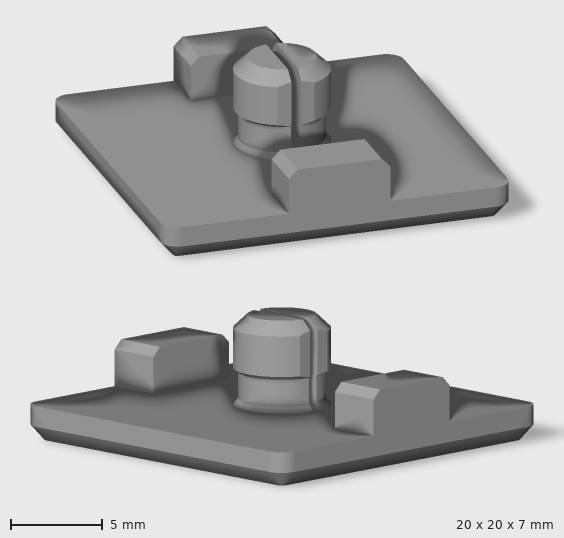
import cadquery as cq

plate_side = 20.0
plate_thickness = 2.0
corner_radius = 1.0
bevel_height = 0.85
bevel_inset = 0.75

block_length = 3.0
block_width = 5.85
block_top = 4.55
block_chamfer = 0.5

stud_top = 7.0
tip_radius = 1.9
head_radius = 2.68
head_shoulder = 6.25
head_bottom = 4.02
neck_radius = 2.4
neck_top = 3.82
neck_bottom = 2.32
flare_radius = 2.7
flat_half_width = 2.45
slot_width = 0.55


def make_plate():
    """Rounded square plate with a bevel around its underside."""
    plate = cq.Workplane("XY").rect(plate_side, plate_side).extrude(plate_thickness)
    plate = plate.edges("|Z").fillet(corner_radius)
    return plate.faces("<Z").chamfer(bevel_height, bevel_inset)


def make_block(side):
    """Block flush with the plate edge on the given X side (-1 or +1)."""
    height = block_top - plate_thickness
    center_x = side * (plate_side - block_length) / 2
    center_z = plate_thickness + height / 2
    block = cq.Workplane("XY").box(block_length, block_width, height)
    block = block.edges("|X and >Z").chamfer(block_chamfer)
    return block.translate((center_x, 0, center_z))


def make_stud():
    """Turned stud with a flared foot, flats on the head and a through slot."""
    profile = [
        (0, plate_thickness),
        (flare_radius, plate_thickness),
        (neck_radius, neck_bottom),
        (neck_radius, neck_top),
        (head_radius, head_bottom),
        (head_radius, head_shoulder),
        (tip_radius, stud_top),
        (0, stud_top),
    ]
    stud = cq.Workplane("XZ").polyline(profile).close().revolve(360, (0, 0), (0, 1))

    head_height = stud_top - neck_top
    trim_depth = head_radius - flat_half_width
    for side in (-1, 1):
        trim = cq.Workplane("XY").box(trim_depth, 2 * head_radius, head_height)
        trim_x = side * (flat_half_width + trim_depth / 2)
        stud = stud.cut(trim.translate((trim_x, 0, neck_top + head_height / 2)))

    stud_height = stud_top - plate_thickness
    slot = cq.Workplane("XY").box(2 * flare_radius, slot_width, stud_height)
    return stud.cut(slot.translate((0, 0, plate_thickness + stud_height / 2)))


result = make_plate().union(make_stud())
for block_side in (-1, 1):
    result = result.union(make_block(block_side))